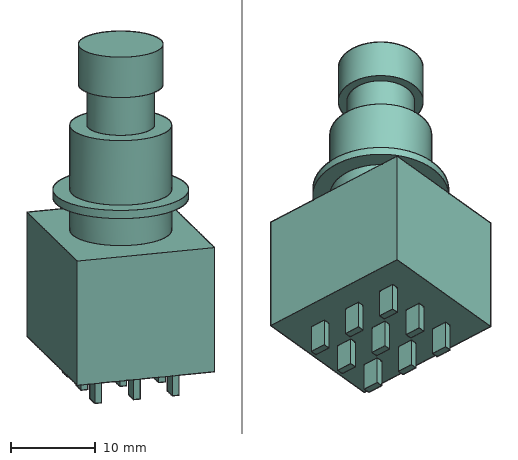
import cadquery as cq

body_x = 19.6
body_y = 17.0
body_height = 15.4

pin_x = 2.0
pin_y = 0.85
pin_length = 3.65
pin_pitch_x = 5.3
pin_pitch_y = 4.8
pins_per_side = 3

overall_height = 42.05
bushing_diameter = 12.0
washer_diameter = 16.0
washer_thickness = 1.0
washer_gap = 4.0
stem_diameter = 8.0
stem_height = 5.0
cap_diameter = 10.0
cap_height = 5.0

top_level = overall_height - pin_length
cap_level = top_level - cap_height
bushing_top = cap_level - stem_height


def cylinder(diameter, bottom, top):
    """Upright cylinder on the centre axis between two levels."""
    return cq.Workplane("XY").workplane(offset=bottom).circle(diameter / 2).extrude(top - bottom)


def pins():
    """Grid of rectangular pins hanging from the underside of the body."""
    return (
        cq.Workplane("XY")
        .rarray(pin_pitch_x, pin_pitch_y, pins_per_side, pins_per_side)
        .rect(pin_x, pin_y)
        .extrude(-pin_length)
    )


washer_bottom = body_height + washer_gap

body = cq.Workplane("XY").rect(body_x, body_y).extrude(body_height)
bushing = cylinder(bushing_diameter, body_height, bushing_top)
washer = cylinder(washer_diameter, washer_bottom, washer_bottom + washer_thickness)
stem = cylinder(stem_diameter, bushing_top, cap_level)
cap = cylinder(cap_diameter, cap_level, top_level)

result = body.union(pins()).union(bushing).union(washer).union(stem).union(cap)